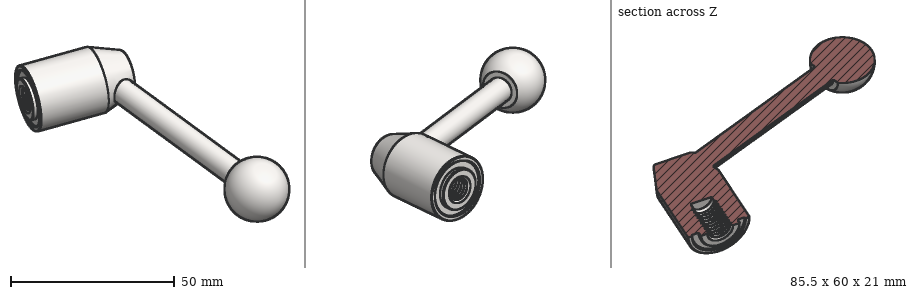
import cadquery as cq
import math


HUB_RADIUS = 10.5
HUB_HEIGHT = 34.0
COLLAR_RADIUS = 6.7
COLLAR_HEIGHT = 1.0
EDGE_CHAMFER = 0.21
RECESS_RADIUS = 8.9
RECESS_CHAMFER = 0.25
RECESS_DEPTH = 0.5
TAPER_START = 23.5
TAPER_ANGLE = math.radians(20)
TOP_FILLET = 1.4

BORE_RADIUS = 3.5
THREAD_DEPTH = 0.6
THREAD_PITCH = 1.3
THREAD_COUNT = 9
CREST_WIDTH = 0.2
MOUTH_RADIUS = 4.4
MOUTH_DEPTH = 0.5
BORE_RUNOUT = 1.7

ARM_RADIUS = 4.0
ARM_ANGLE = math.radians(20)
BALL_RADIUS = 10.0
BALL_X = 65.0
BALL_Y = 50.0
BALL_FLAT_RADIUS = 6.0


def revolve_about_hub(profile):
    """Revolve a closed (radius, height) profile about the hub axis."""
    return profile.close().revolve(360, (0, 0, 0), (0, 1, 0))


def make_hub():
    """Tapered cylinder whose lower face is recessed around a raised collar."""
    recess_floor = COLLAR_HEIGHT + RECESS_DEPTH
    top_radius = HUB_RADIUS - (HUB_HEIGHT - TAPER_START) * math.tan(TAPER_ANGLE)
    profile = (
        cq.Workplane("XY")
        .lineTo(COLLAR_RADIUS - EDGE_CHAMFER, 0)
        .lineTo(COLLAR_RADIUS, EDGE_CHAMFER)
        .lineTo(COLLAR_RADIUS, recess_floor)
        .lineTo(RECESS_RADIUS, recess_floor)
        .lineTo(RECESS_RADIUS, COLLAR_HEIGHT + RECESS_CHAMFER)
        .lineTo(RECESS_RADIUS + RECESS_CHAMFER, COLLAR_HEIGHT)
        .lineTo(HUB_RADIUS - EDGE_CHAMFER, COLLAR_HEIGHT)
        .lineTo(HUB_RADIUS, COLLAR_HEIGHT + EDGE_CHAMFER)
        .lineTo(HUB_RADIUS, TAPER_START)
        .lineTo(top_radius, HUB_HEIGHT)
        .lineTo(0, HUB_HEIGHT)
    )
    return revolve_about_hub(profile).faces(">Y").edges().fillet(TOP_FILLET)


def make_threaded_bore():
    """Flat-bottomed bore with a chamfered mouth and ring-shaped thread grooves."""
    bore_depth = MOUTH_DEPTH + THREAD_COUNT * THREAD_PITCH + BORE_RUNOUT
    groove_width = THREAD_PITCH - CREST_WIDTH
    profile = (
        cq.Workplane("XY")
        .lineTo(MOUTH_RADIUS, 0)
        .lineTo(BORE_RADIUS, MOUTH_DEPTH)
    )
    for turn in range(THREAD_COUNT):
        groove_end = MOUTH_DEPTH + (turn + 1) * THREAD_PITCH
        groove_start = groove_end - groove_width
        profile = (
            profile
            .lineTo(BORE_RADIUS, groove_start)
            .lineTo(BORE_RADIUS + THREAD_DEPTH, groove_start + groove_width / 2)
            .lineTo(BORE_RADIUS, groove_end)
        )
    profile = profile.lineTo(BORE_RADIUS, bore_depth).lineTo(0, bore_depth)
    return revolve_about_hub(profile)


def make_arm_and_ball():
    """Arm rising from the hub axis to a ball with a flat facing the arm."""
    arm_length = BALL_X / math.cos(ARM_ANGLE)
    arm_start_y = BALL_Y - BALL_X * math.tan(ARM_ANGLE)
    flat_offset = math.sqrt(BALL_RADIUS**2 - BALL_FLAT_RADIUS**2)
    flat_position = arm_length - flat_offset
    return (
        cq.Workplane("XY")
        .lineTo(0, ARM_RADIUS)
        .lineTo(flat_position, ARM_RADIUS)
        .lineTo(flat_position, BALL_FLAT_RADIUS)
        .threePointArc((arm_length, BALL_RADIUS), (arm_length + BALL_RADIUS, 0))
        .close()
        .revolve(360, (0, 0, 0), (1, 0, 0))
        .rotate((0, 0, 0), (0, 0, 1), math.degrees(ARM_ANGLE))
        .translate((0, arm_start_y, 0))
    )


result = make_hub().union(make_arm_and_ball()).cut(make_threaded_bore())